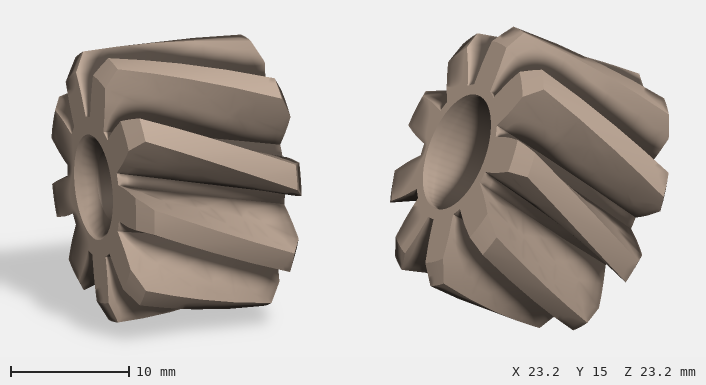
import cadquery as cq
import math

tooth_count = 9
outer_radius = 11.58
face_width = 15.0
helix_twist = 32.0
front_tooth_angle = 2.5

root_radius = 6.02
root_half_angle = 15.1
flank_radius = 9.82
flank_half_angle = 8.3
cutoff_radius = 11.8
cutoff_half_angle = 5.0

chamfer_depth = 1.0
chamfer_angle = 60.0
chamfer_height = chamfer_depth * math.tan(math.radians(chamfer_angle))

throat_radius = 6.0 / 2
throat_length = 1.5
countersink_radius = 8.98 / 2
countersink_depth = countersink_radius - throat_radius
counterbore_radius = 10.2 / 2


def polar(radius, degrees):
    angle = math.radians(degrees)
    return (radius * math.cos(angle), radius * math.sin(angle))


def gear_outline():
    """Closed tooth outline at the back face, with arc flanks and arc roots."""
    pitch = 360 / tooth_count
    first_angle = front_tooth_angle - helix_twist
    outline = cq.Workplane("XY").moveTo(*polar(root_radius, first_angle - root_half_angle))
    for tooth in range(tooth_count):
        centre = first_angle + tooth * pitch
        outline = (
            outline
            .threePointArc(
                polar(flank_radius, centre - flank_half_angle),
                polar(cutoff_radius, centre - cutoff_half_angle),
            )
            .lineTo(*polar(cutoff_radius, centre + cutoff_half_angle))
            .threePointArc(
                polar(flank_radius, centre + flank_half_angle),
                polar(root_radius, centre + root_half_angle),
            )
            .threePointArc(
                polar(root_radius, centre + pitch / 2),
                polar(root_radius, centre + pitch - root_half_angle),
            )
        )
    return outline.close()


def turned_blank():
    """Revolved blank with both end chamfers and the stepped bore."""
    end_radius = outer_radius - chamfer_height
    throat_front = face_width - countersink_depth
    throat_back = throat_front - throat_length
    profile = [
        (counterbore_radius, 0),
        (end_radius, 0),
        (outer_radius, chamfer_depth),
        (outer_radius, face_width - chamfer_depth),
        (end_radius, face_width),
        (countersink_radius, face_width),
        (throat_radius, throat_front),
        (throat_radius, throat_back),
        (counterbore_radius, throat_back),
    ]
    return cq.Workplane("XZ").polyline(profile).close().revolve(360, (0, 0, 0), (0, 1, 0))


toothed_body = gear_outline().twistExtrude(face_width, helix_twist)
upright_gear = toothed_body.intersect(turned_blank())
result = upright_gear.rotate((0, 0, 0), (1, 0, 0), 90).translate((0, face_width / 2, 0))